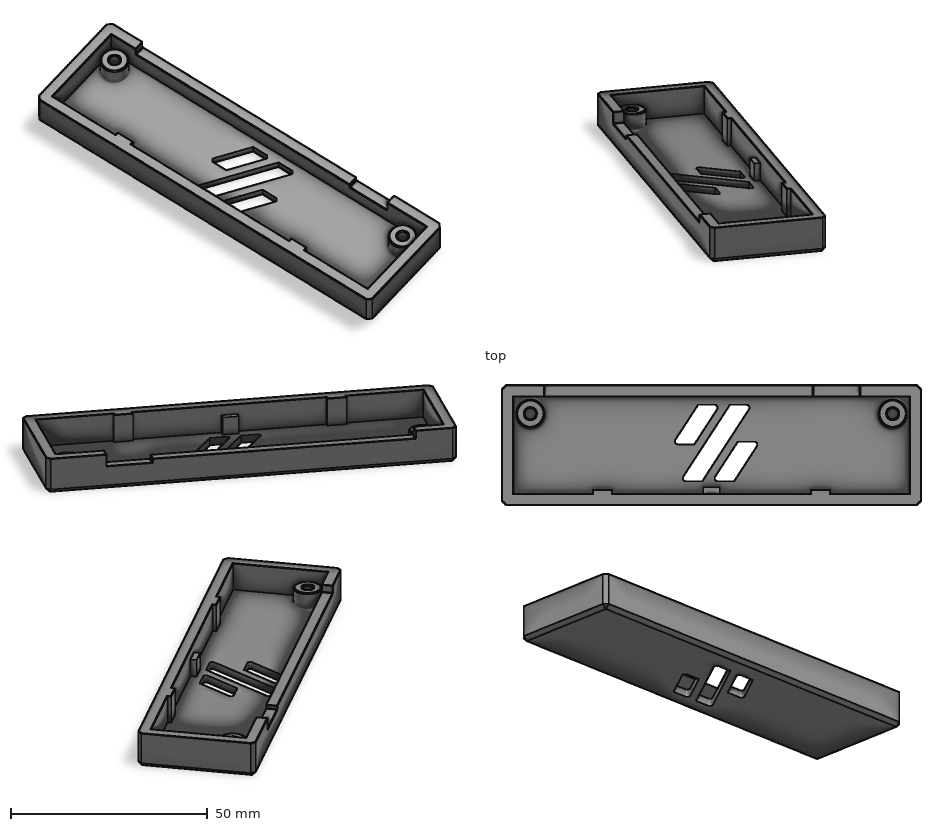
import cadquery as cq
import math

length = 106.6
width = 30.6
height = 9.5
edge_chamfer = 1.1
rim_chamfer = 0.16

wall = 3.0
floor_thickness = 2.0
cavity_length = length - 2 * wall
cavity_width = width - 2 * wall
cavity_back = cavity_width / 2
cavity_front = -cavity_back

boss_spacing = 92.1
boss_y = 8.0
boss_diameter = 7.2
boss_height = 4.7
boss_foot_fillet = 0.5
boss_top_chamfer = 0.3
hole_diameter = 2.8
hole_chamfer = 0.3
boss_top = floor_thickness + boss_height

notch_left = -42.5
notch_step = 25.8
notch_right = 37.7
shallow_notch_floor = height - 2.1
deep_notch_floor = height - 3.2

tab_length = 5.0
tab_depth = 1.0
tab_spacing = 55.4
rest_length = 4.3
rest_depth = 1.6

window_x = 1.2
window_y = 0.5
window_width = 5.5
window_pitch = 8.1
long_window_height = 19.4
short_window_height = 10.0
window_angle = 57.0
window_corner_radius = 0.7


def block(x_min, x_max, y_min, y_max, z_min, z_max):
    """Axis-aligned box given by its limits."""
    size = (x_max - x_min, y_max - y_min, z_max - z_min)
    return cq.Workplane("XY").box(*size, centered=False).translate((x_min, y_min, z_min))


def make_tray():
    """Open tray with chamfered upright corners and bottom edges."""
    outside = (
        cq.Workplane("XY")
        .box(length, width, height, centered=(True, True, False))
        .edges("|Z or <Z")
        .chamfer(edge_chamfer)
    )
    cavity = block(
        -cavity_length / 2, cavity_length / 2, cavity_front, cavity_back, floor_thickness, height
    )
    return outside.cut(cavity)


def make_tab(x):
    """Full-height tab on the inside of the front wall."""
    return block(
        x - tab_length / 2, x + tab_length / 2,
        cavity_front, cavity_front + tab_depth, floor_thickness, height,
    )


def make_back_notch(x_min, x_max, notch_floor):
    """Cutter that lowers the rim of the back wall."""
    return block(x_min, x_max, cavity_back, width / 2, notch_floor, height)


def chamfer_rim(tray):
    """Bevel every edge of the rim, including all edges and corners of the notches."""
    lowest = deep_notch_floor - rim_chamfer
    rim_edges = [edge for edge in tray.edges().vals() if edge.Center().z > lowest]
    return tray.newObject(rim_edges).chamfer(rim_chamfer)


def make_boss(x):
    """Round boss on the floor with a filleted foot and a chamfered top."""
    radius = boss_diameter / 2
    fillet_sag = boss_foot_fillet * (1 - math.sqrt(0.5))
    profile = (
        cq.Workplane("XZ")
        .lineTo(0, boss_height)
        .lineTo(radius - boss_top_chamfer, boss_height)
        .lineTo(radius, boss_height - boss_top_chamfer)
        .lineTo(radius, boss_foot_fillet)
        .threePointArc((radius + fillet_sag, fillet_sag), (radius + boss_foot_fillet, 0))
        .close()
    )
    boss = profile.revolve(360, (0, 0, 0), (0, 1, 0))
    return boss.translate((x, boss_y, floor_thickness))


def make_boss_hole(x):
    """Cutter for a blind screw hole, as deep as the boss, with a chamfered mouth."""
    radius = hole_diameter / 2
    profile = (
        cq.Workplane("XZ")
        .lineTo(radius, 0)
        .lineTo(radius, boss_height - hole_chamfer)
        .lineTo(radius + hole_chamfer, boss_height)
        .lineTo(0, boss_height)
        .close()
    )
    hole = profile.revolve(360, (0, 0, 0), (0, 1, 0))
    return hole.translate((x, boss_y, floor_thickness))


def make_rest():
    """Low block against the front wall, level with the boss tops."""
    return block(
        -rest_length / 2, rest_length / 2,
        cavity_front, cavity_front + rest_depth, floor_thickness, boss_top,
    )


def make_window(x, y, window_height):
    """Cutter for a slanted window whose two pointed corners are rounded."""
    lean = window_height / math.tan(math.radians(window_angle))
    left = x - (window_width + lean) / 2
    bottom = y - window_height / 2
    corners = [
        (left, bottom),
        (left + window_width, bottom),
        (left + window_width + lean, bottom + window_height),
        (left + lean, bottom + window_height),
    ]
    window = cq.Workplane("XY").polyline(corners).close().extrude(floor_thickness)
    return window.edges("|Z").edges("<X or >X").fillet(window_corner_radius)


result = make_tray()
for side in (-1, 1):
    result = result.union(make_tab(side * tab_spacing / 2))
result = result.cut(make_back_notch(notch_left, notch_step, shallow_notch_floor))
result = result.cut(make_back_notch(notch_step, notch_right, deep_notch_floor))
result = chamfer_rim(result)

result = result.union(make_rest())
for side in (-1, 1):
    boss_x = side * boss_spacing / 2
    result = result.union(make_boss(boss_x)).cut(make_boss_hole(boss_x))

short_window_rise = (long_window_height - short_window_height) / 2
short_window_shift = window_pitch - short_window_rise / math.tan(math.radians(window_angle))
result = result.cut(make_window(window_x, window_y, long_window_height))
for side in (-1, 1):
    short_window_x = window_x + side * short_window_shift
    short_window_y = window_y - side * short_window_rise
    result = result.cut(make_window(short_window_x, short_window_y, short_window_height))